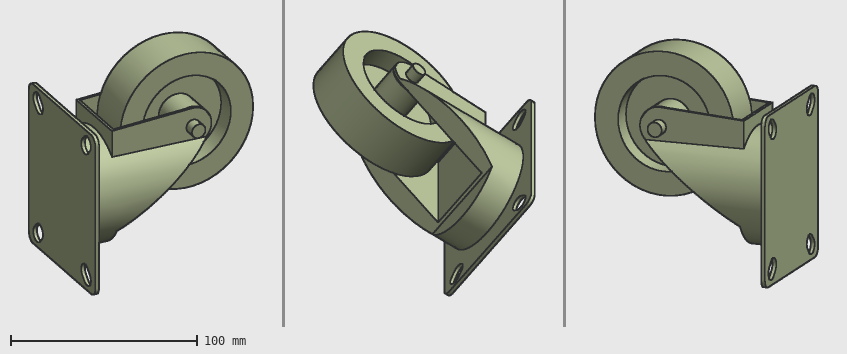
import cadquery as cq
import math

plate_width = 80.0
plate_height = 95.0
plate_thickness = 2.3
plate_corner_radius = 5.0
slot_diameter = 9.0
slot_center_distance = 3.6
slot_x = 28.8
slot_z = 38.7
slot_angle = 45

collar_radius = 32.5
collar_end_y = 19.2

wheel_radius = plate_width / 2
wheel_width = 27.5
wheel_y = 68.0
wheel_z = 32.0
recess_radius = 26.5
recess_depth = 11.7
hub_radius = 11.0
hub_length = 39.0
axle_radius = 4.1
axle_length = 56.4

fork_inner_width = 40.0
fork_wall = 1.5
fork_outer_width = fork_inner_width + 2 * fork_wall
fork_tip_radius = hub_radius
fork_top_z = 39.8
fork_bottom_z = -17.5


def tangent_point(y, z, side):
    """Point where the line from (y, z) touches the fork tip circle; side sets the turning direction."""
    dy = y - wheel_y
    dz = z - wheel_z
    angle = math.atan2(dz, dy) + side * math.acos(fork_tip_radius / math.hypot(dy, dz))
    return (wheel_y + fork_tip_radius * math.cos(angle), wheel_z + fork_tip_radius * math.sin(angle))


def cylinder_along_x(radius, length):
    """Cylinder on the wheel axis, centred on X = 0."""
    return (
        cq.Workplane("YZ", origin=(-length / 2, 0, 0))
        .center(wheel_y, wheel_z)
        .circle(radius)
        .extrude(length)
    )


def cylinder_along_y(radius, start_y, end_y):
    """Cylinder on the Y axis."""
    return cq.Workplane("XZ", origin=(0, start_y, 0)).circle(radius).extrude(start_y - end_y)


def make_plate():
    plate = (
        cq.Workplane("XY")
        .box(plate_width, plate_thickness, plate_height)
        .edges("|Y")
        .fillet(plate_corner_radius)
        .translate((0, plate_thickness / 2, 0))
    )
    for x_side in (-1, 1):
        for z_side in (-1, 1):
            slot = (
                cq.Workplane("XZ")
                .center(x_side * slot_x, z_side * slot_z)
                .slot2D(slot_center_distance + slot_diameter, slot_diameter, x_side * z_side * slot_angle)
                .extrude(-plate_thickness)
            )
            plate = plate.cut(slot)
    return plate


def make_fork():
    upper_tangent = tangent_point(collar_end_y, fork_top_z, -1)
    lower_tangent = tangent_point(collar_end_y, fork_bottom_z, 1)
    outline = (
        cq.Workplane("YZ", origin=(-collar_radius, 0, 0))
        .moveTo(collar_end_y, fork_bottom_z)
        .lineTo(collar_end_y, fork_top_z)
        .lineTo(*upper_tangent)
        .threePointArc((wheel_y + fork_tip_radius, wheel_z), lower_tangent)
        .close()
        .extrude(2 * collar_radius)
    )
    tip_y = wheel_y + fork_tip_radius
    length = tip_y - collar_end_y
    channel = cq.Workplane("XY").box(
        fork_outer_width, length, wheel_z + fork_tip_radius, centered=(True, False, False)
    ).translate((0, collar_end_y, 0))
    section = cylinder_along_y(collar_radius, collar_end_y, tip_y).union(channel)
    opening = cq.Workplane("XY").box(
        fork_inner_width, length, 4 * collar_radius, centered=(True, False, True)
    ).translate((0, collar_end_y + fork_wall, 0))
    axle_hole = cylinder_along_x(axle_radius, axle_length)
    return outline.intersect(section).cut(opening).cut(axle_hole)


def make_bracket():
    collar = cylinder_along_y(collar_radius, plate_thickness, collar_end_y)
    return make_plate().union(collar).union(make_fork())


def make_wheel():
    wheel = cylinder_along_x(wheel_radius, wheel_width)
    web_thickness = wheel_width - 2 * recess_depth
    recesses = cylinder_along_x(recess_radius, wheel_width).cut(
        cylinder_along_x(recess_radius, web_thickness)
    )
    hub = cylinder_along_x(hub_radius, hub_length)
    axle = cylinder_along_x(axle_radius, axle_length)
    return wheel.cut(recesses).union(hub).union(axle)


bracket = make_bracket()
wheel = make_wheel()

result = cq.Compound.makeCompound([bracket.val(), wheel.val()])